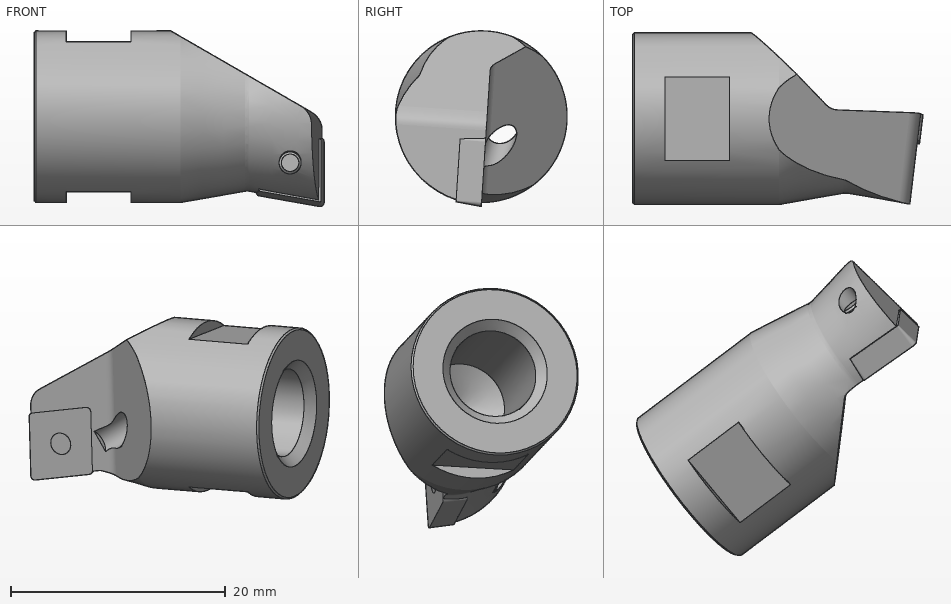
import cadquery as cq
import math

shank_diameter = 16.0
shank_radius = shank_diameter / 2
shank_length = 13.64
rear_chamfer = 0.15
waist_angle = 10.0
waist_x = 19.82
waist_blend = 1.1
nose_x = 29.7

flat_start = 3.0
flat_length = 6.0
flat_height = 7.0

bore_radius = 4.1
bore_mouth_radius = 5.0
bore_depth = 13.55
drill_point_half_angle = 59.0

slope_start_x = 12.7
slope_angle = 30.0
end_face_x = 26.75
end_face_angle = 6.8
end_round = 2.0

tip_x = 27.0
tip_z = -8.45
rake_tilt = 3.7
insert_edge = 6.45
insert_corner_angle = 80.0
insert_thickness = 2.38
insert_clearance = 7.0
insert_corner_radius = 0.4

pocket_wall_x = 18.45
pocket_round = 1.5
trim_reach = 16.2

screw_radius = 1.03
screw_length = 5.95
screw_hole_length = 10.8
screw_chamfer = 0.22

coolant_radius = 1.4
coolant_y = 2.02
coolant_z = -1.13
coolant_length = 7.55


def tilt_rake(shape):
    """Lean a shape about the X direction through the insert tip."""
    return shape.rotate((0, 0, tip_z), (1, 0, tip_z), -rake_tilt)


def rhombus_points():
    """Corners of the insert, starting at the cutting tip and going up the front edge."""
    lean = math.radians(90 - insert_corner_angle)
    run = insert_edge * math.cos(lean)
    rise = insert_edge * math.sin(lean)
    return [
        (tip_x, tip_z),
        (tip_x, tip_z + insert_edge),
        (tip_x - run, tip_z + insert_edge + rise),
        (tip_x - run, tip_z + rise),
    ]


def insert_blank():
    """Rhombic insert without its screw hole, with flanks tapering away from the rake face."""
    outline = cq.Sketch().polygon(rhombus_points() + rhombus_points()[:1])
    outline = outline.vertices().fillet(insert_corner_radius)
    return tilt_rake(
        cq.Workplane("XZ").placeSketch(outline).extrude(insert_thickness, taper=insert_clearance)
    )


def screw_cylinder(length):
    """Cylinder through the middle of the insert, starting at its rake face."""
    corners = rhombus_points()
    centre_x = (corners[0][0] + corners[2][0]) / 2
    centre_z = (corners[0][1] + corners[2][1]) / 2
    return cq.Workplane("XZ").center(centre_x, centre_z).circle(screw_radius).extrude(length)


def make_screw():
    return tilt_rake(screw_cylinder(screw_length).faces("<Y").chamfer(screw_chamfer))


def screw_hole():
    return tilt_rake(screw_cylinder(screw_hole_length))


def turned_blank():
    """Round shank that narrows to a waist and widens again."""
    slope = math.tan(math.radians(waist_angle))
    waist_radius = shank_radius - (waist_x - shank_length) * slope
    half_blend = waist_blend * math.sin(math.radians(waist_angle))
    blend_radius = waist_radius + half_blend * slope
    blend_bottom = blend_radius - waist_blend * (1 - math.cos(math.radians(waist_angle)))
    return (
        cq.Workplane("XY")
        .moveTo(0, 0)
        .lineTo(0, shank_radius - rear_chamfer)
        .lineTo(rear_chamfer, shank_radius)
        .lineTo(shank_length, shank_radius)
        .lineTo(waist_x - half_blend, blend_radius)
        .threePointArc((waist_x, blend_bottom), (waist_x + half_blend, blend_radius))
        .lineTo(nose_x, waist_radius + (nose_x - waist_x) * slope)
        .lineTo(nose_x, 0)
        .close()
        .revolve(360, (0, 0, 0), (1, 0, 0))
    )


def end_envelope():
    """Space below the sloped top and behind the end face, with a rounded edge between."""
    drop = math.tan(math.radians(slope_angle))
    turn = trim_reach * math.tan(math.radians(end_face_angle))
    plan = [
        (0, -trim_reach),
        (end_face_x - turn, -trim_reach),
        (end_face_x + turn, trim_reach),
        (0, trim_reach),
    ]
    block = cq.Workplane("XY").workplane(offset=-trim_reach).polyline(plan).close()
    block = block.extrude(2 * trim_reach)
    side = [
        (0, -trim_reach),
        (2 * nose_x, -trim_reach),
        (2 * nose_x, shank_radius - (2 * nose_x - slope_start_x) * drop),
        (0, shank_radius + slope_start_x * drop),
    ]
    below = cq.Workplane("XZ").polyline(side).close().extrude(trim_reach, both=True)
    return block.intersect(below).faces(">X").edges(">Z").fillet(end_round)


def chip_pocket():
    """Open space on the +Y side, bounded by the rake plane and a 45 degree wall."""
    pocket = (
        cq.Workplane("XY")
        .workplane(offset=-2 * trim_reach)
        .polyline([
            (pocket_wall_x - trim_reach, trim_reach),
            (pocket_wall_x, 0),
            (2 * nose_x, 0),
            (2 * nose_x, trim_reach),
        ])
        .close()
        .extrude(4 * trim_reach)
    )
    corner = cq.selectors.NearestToPointSelector((pocket_wall_x, 0, 0))
    return tilt_rake(pocket.edges(corner).fillet(pocket_round))


def bore():
    """Blind bore with a chamfered mouth and a drill-point end."""
    mouth_depth = bore_mouth_radius - bore_radius
    point_depth = bore_radius / math.tan(math.radians(drill_point_half_angle))
    return (
        cq.Workplane("XY")
        .polyline([
            (0, 0),
            (0, bore_mouth_radius),
            (mouth_depth, bore_radius),
            (bore_depth, bore_radius),
            (bore_depth + point_depth, 0),
        ])
        .close()
        .revolve(360, (0, 0, 0), (1, 0, 0))
    )


def coolant_hole():
    """Straight hole from the drill point of the bore towards the insert tip."""
    radial_inset = bore_radius - math.hypot(coolant_y, coolant_z)
    start_x = bore_depth + radial_inset / math.tan(math.radians(drill_point_half_angle))
    start = cq.Vector(start_x, coolant_y, coolant_z)
    aim = (cq.Vector(tip_x, 0, tip_z) - start).normalized()
    back_step = aim * coolant_radius
    return cq.Workplane(cq.Solid.makeCylinder(coolant_radius, coolant_length, start - back_step, aim))


def wrench_flats():
    """Slabs that cut two opposite flats across the shank."""
    side = shank_diameter
    slab = cq.Workplane("XY").box(flat_length, side, side, centered=(False, True, False))
    upper = slab.translate((flat_start, 0, flat_height))
    return upper.union(upper.mirror("XY"))


def make_holder():
    body = turned_blank().intersect(end_envelope())
    body = body.cut(chip_pocket()).cut(wrench_flats())
    body = body.cut(bore()).cut(coolant_hole())
    return body.cut(insert_blank()).cut(screw_hole())


def make_insert():
    return insert_blank().cut(screw_hole())


holder = make_holder()
insert = make_insert()
screw = make_screw()

result = cq.Compound.makeCompound([
    holder.solids().val(),
    insert.solids().val(),
    screw.solids().val(),
])